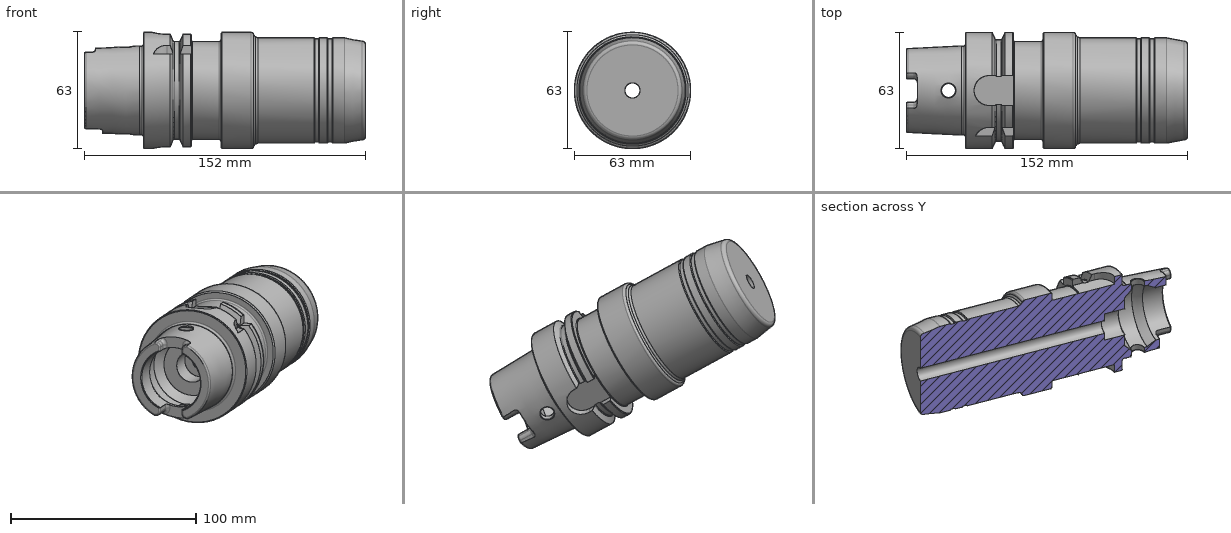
import cadquery as cq
import math

TOTAL_LENGTH = 152.0

SHANK_LENGTH = 31.9
SHANK_FRONT_RADIUS = 22.6
SHANK_TAPER = 1 / 20
SHANK_FRONT_ROUND = 0.9
TAPER_END_X = 29.8
RELIEF_RADIUS = 48.0 / 2
RELIEF_FILLET = 1.0

FLANGE_RADIUS = 63.0 / 2
FLANGE_END_X = 57.9
FLANGE_CHAMFER = 0.5
GROOVE_X = 49.9
GROOVE_RADIUS = 27.5
GROOVE_TOP_HALF_WIDTH = 3.5
GROOVE_FLANK_ANGLE = 65
GROOVE_FILLET = 0.6

NECK_RADIUS = 53.0 / 2
NECK_FRONT_FILLET = 0.5
NECK_REAR_FILLET = 0.9
COLLAR_X = 73.7
COLLAR_FRONT_CHAMFER = 0.8
COLLAR_END_X = 91.5
COLLAR_REAR_ROUND = 1.4
COLLAR_STEP_X = 92.4
COLLAR_STEP_RADIUS = 29.0

SLEEVE_X = 93.8
SLEEVE_RADIUS = 57.0 / 2
RING_GROOVE_RADIUS = 56.0 / 2
RING_GROOVE_STARTS = (124.0, 131.2)
RING_GROOVE_WIDTH = 3.0
NOSE_X = 140.5
NOSE_ROUND = 2.1
NOSE_END_RADIUS = 26.8

MOUTH_RADIUS = 34.0 / 2
MOUTH_CHAMFER = 0.5
MOUTH_DEPTH = 12.2
RECESS_RADIUS = 40.0 / 2
RECESS_SHOULDER_ANGLE = 30
RECESS_DEPTH = 30.4
RECESS_FLOOR_RADIUS = 15.8
COUNTERBORE_RADIUS = 16.9 / 2
COUNTERBORE_DEPTH = 12.2
COOLANT_RADIUS = 8.0 / 2

CROSS_HOLE_X = 22.8
CROSS_HOLE_RADIUS = 7.5 / 2
CROSS_HOLE_RIM_STEP = 0.3

DRIVE_SLOT_HALF_WIDTH = 6.2
DRIVE_SLOT_FLOOR_ROUND = 1.8
DRIVE_SLOT_EDGE_ROUND = 2.3
DRIVE_SLOT_MOUTH_HALF_WIDTH = 9.3
DRIVE_SLOT_FLARE_ANGLE = 15
DRIVE_SLOT_FLARE_EXCESS = 3.0
TOP_SLOT_DEPTH = 6.0
BOTTOM_SLOT_DEPTH = 9.9

KEYWAY_RADIUS = 8.0
KEYWAY_CENTER_X = 44.7
KEYWAY_FLOOR = 26.5
NOTCH_FLOOR_Z = 19.8
NOTCH_WALL_Y = 19.9


def arc_point(center_x, center_r, radius, angle):
    """Point on a circle in the sketch plane, angle in degrees."""
    a = math.radians(angle)
    return (center_x + radius * math.cos(a), center_r + radius * math.sin(a))


def body():
    """Solid of revolution for the whole outside."""
    taper_end_radius = SHANK_FRONT_RADIUS + SHANK_TAPER * TAPER_END_X
    taper_step = taper_end_radius - RELIEF_RADIUS
    flank_run = (FLANGE_RADIUS - GROOVE_RADIUS) / math.tan(math.radians(GROOVE_FLANK_ANGLE))
    fillet_x = (
        GROOVE_TOP_HALF_WIDTH - flank_run
        - GROOVE_FILLET * math.tan(math.radians(GROOVE_FLANK_ANGLE / 2))
    )
    fillet_center = (fillet_x, GROOVE_RADIUS + GROOVE_FILLET)
    fillet_middle = arc_point(*fillet_center, GROOVE_FILLET, GROOVE_FLANK_ANGLE / 2 - 90)
    flank_end = arc_point(*fillet_center, GROOVE_FILLET, GROOVE_FLANK_ANGLE - 90)
    profile = (
        cq.Workplane("XY")
        .moveTo(0, 0)
        .lineTo(0, SHANK_FRONT_RADIUS)
        .lineTo(TAPER_END_X, taper_end_radius)
        .lineTo(TAPER_END_X + taper_step, RELIEF_RADIUS)
        .lineTo(SHANK_LENGTH - RELIEF_FILLET, RELIEF_RADIUS)
        .threePointArc(
            arc_point(SHANK_LENGTH - RELIEF_FILLET, RELIEF_RADIUS + RELIEF_FILLET, RELIEF_FILLET, -45),
            (SHANK_LENGTH, RELIEF_RADIUS + RELIEF_FILLET),
        )
        .lineTo(SHANK_LENGTH, FLANGE_RADIUS - FLANGE_CHAMFER)
        .lineTo(SHANK_LENGTH + FLANGE_CHAMFER, FLANGE_RADIUS)
        .lineTo(GROOVE_X - GROOVE_TOP_HALF_WIDTH, FLANGE_RADIUS)
        .lineTo(GROOVE_X - flank_end[0], flank_end[1])
        .threePointArc((GROOVE_X - fillet_middle[0], fillet_middle[1]), (GROOVE_X - fillet_x, GROOVE_RADIUS))
        .lineTo(GROOVE_X + fillet_x, GROOVE_RADIUS)
        .threePointArc((GROOVE_X + fillet_middle[0], fillet_middle[1]), (GROOVE_X + flank_end[0], flank_end[1]))
        .lineTo(GROOVE_X + GROOVE_TOP_HALF_WIDTH, FLANGE_RADIUS)
        .lineTo(FLANGE_END_X - FLANGE_CHAMFER, FLANGE_RADIUS)
        .lineTo(FLANGE_END_X, FLANGE_RADIUS - FLANGE_CHAMFER)
        .lineTo(FLANGE_END_X, NECK_RADIUS + NECK_FRONT_FILLET)
        .threePointArc(
            arc_point(FLANGE_END_X + NECK_FRONT_FILLET, NECK_RADIUS + NECK_FRONT_FILLET, NECK_FRONT_FILLET, 225),
            (FLANGE_END_X + NECK_FRONT_FILLET, NECK_RADIUS),
        )
        .lineTo(COLLAR_X - NECK_REAR_FILLET, NECK_RADIUS)
        .threePointArc(
            arc_point(COLLAR_X - NECK_REAR_FILLET, NECK_RADIUS + NECK_REAR_FILLET, NECK_REAR_FILLET, -45),
            (COLLAR_X, NECK_RADIUS + NECK_REAR_FILLET),
        )
        .lineTo(COLLAR_X, FLANGE_RADIUS - COLLAR_FRONT_CHAMFER)
        .lineTo(COLLAR_X + COLLAR_FRONT_CHAMFER, FLANGE_RADIUS)
        .lineTo(COLLAR_END_X - COLLAR_REAR_ROUND, FLANGE_RADIUS)
        .threePointArc(
            arc_point(COLLAR_END_X - COLLAR_REAR_ROUND, FLANGE_RADIUS - COLLAR_REAR_ROUND, COLLAR_REAR_ROUND, 45),
            (COLLAR_END_X, FLANGE_RADIUS - COLLAR_REAR_ROUND),
        )
        .lineTo(COLLAR_STEP_X, COLLAR_STEP_RADIUS)
        .lineTo(SLEEVE_X, SLEEVE_RADIUS)
    )
    flank = SLEEVE_RADIUS - RING_GROOVE_RADIUS
    for start in RING_GROOVE_STARTS:
        end = start + RING_GROOVE_WIDTH
        profile = (
            profile.lineTo(start, SLEEVE_RADIUS)
            .lineTo(start + flank, RING_GROOVE_RADIUS)
            .lineTo(end - flank, RING_GROOVE_RADIUS)
            .lineTo(end, SLEEVE_RADIUS)
        )
    profile = (
        profile.lineTo(NOSE_X, SLEEVE_RADIUS)
        .lineTo(TOTAL_LENGTH - NOSE_ROUND, NOSE_END_RADIUS)
        .threePointArc(
            arc_point(TOTAL_LENGTH - NOSE_ROUND, NOSE_END_RADIUS - NOSE_ROUND, NOSE_ROUND, 45),
            (TOTAL_LENGTH, NOSE_END_RADIUS - NOSE_ROUND),
        )
        .lineTo(TOTAL_LENGTH, 0)
        .close()
    )
    return profile.revolve(360, (0, 0, 0), (1, 0, 0))


def bores():
    """Stepped bore from the shank mouth, running on as the coolant hole."""
    shoulder_run = (RECESS_RADIUS - MOUTH_RADIUS) / math.tan(math.radians(RECESS_SHOULDER_ANGLE))
    floor_cone = RECESS_RADIUS - RECESS_FLOOR_RADIUS
    counterbore_end = RECESS_DEPTH + COUNTERBORE_DEPTH
    return (
        cq.Workplane("XY")
        .polyline([
            (0, 0),
            (0, MOUTH_RADIUS + MOUTH_CHAMFER),
            (MOUTH_CHAMFER, MOUTH_RADIUS),
            (MOUTH_DEPTH, MOUTH_RADIUS),
            (MOUTH_DEPTH + shoulder_run, RECESS_RADIUS),
            (RECESS_DEPTH - floor_cone, RECESS_RADIUS),
            (RECESS_DEPTH, RECESS_FLOOR_RADIUS),
            (RECESS_DEPTH, COUNTERBORE_RADIUS),
            (counterbore_end, COUNTERBORE_RADIUS),
            (counterbore_end, COOLANT_RADIUS),
            (TOTAL_LENGTH, COOLANT_RADIUS),
            (TOTAL_LENGTH, 0),
        ])
        .close()
        .revolve(360, (0, 0, 0), (1, 0, 0))
    )


def drive_slot(depth):
    """Cutter for a slot in the upper mouth wall, with rounded floor corners and outer edges."""
    half = DRIVE_SLOT_HALF_WIDTH
    edge = DRIVE_SLOT_EDGE_ROUND
    slope = math.tan(math.radians(DRIVE_SLOT_FLARE_ANGLE))
    mouth_z = math.sqrt(SHANK_FRONT_RADIUS ** 2 - DRIVE_SLOT_MOUTH_HALF_WIDTH ** 2)
    bend_end_angle = 90 + DRIVE_SLOT_FLARE_ANGLE
    bend_end_y = arc_point(half + edge, 0, edge, bend_end_angle)[0]
    bend_end_z = mouth_z - slope * (DRIVE_SLOT_MOUTH_HALF_WIDTH - bend_end_y)
    bend_z = bend_end_z - edge * math.sin(math.radians(bend_end_angle))
    middle = arc_point(half + edge, bend_z, edge, (180 + bend_end_angle) / 2)
    flare_end_y = DRIVE_SLOT_MOUTH_HALF_WIDTH + DRIVE_SLOT_FLARE_EXCESS
    flare_end_z = mouth_z + slope * DRIVE_SLOT_FLARE_EXCESS
    bottom = MOUTH_RADIUS / 2
    top = FLANGE_RADIUS
    return (
        cq.Workplane("YZ")
        .moveTo(-half, bottom)
        .lineTo(half, bottom)
        .lineTo(half, bend_z)
        .threePointArc(middle, (bend_end_y, bend_end_z))
        .lineTo(flare_end_y, flare_end_z)
        .lineTo(flare_end_y, top)
        .lineTo(-flare_end_y, top)
        .lineTo(-flare_end_y, flare_end_z)
        .lineTo(-bend_end_y, bend_end_z)
        .threePointArc((-middle[0], middle[1]), (-half, bend_z))
        .close()
        .extrude(depth)
        .faces(">X").edges("not |Y")
        .fillet(DRIVE_SLOT_FLOOR_ROUND)
    )


def cross_hole():
    """Upper radial hole in the shank with a slightly wider rim."""
    rim_z = SHANK_FRONT_RADIUS + SHANK_TAPER * CROSS_HOLE_X
    rim_radius = CROSS_HOLE_RADIUS + CROSS_HOLE_RIM_STEP
    hole = cq.Workplane("XY").center(CROSS_HOLE_X, 0).circle(CROSS_HOLE_RADIUS).extrude(rim_z)
    rim = (
        cq.Workplane("XY", origin=(CROSS_HOLE_X, 0, rim_z - 2 * CROSS_HOLE_RIM_STEP))
        .circle(rim_radius)
        .extrude(FLANGE_RADIUS - rim_z)
    )
    return hole.union(rim)


def round_ended_pocket(center_y, floor_z):
    """Pocket open towards +X and +Z with a full-radius end inside the flange."""
    straight = FLANGE_END_X - KEYWAY_CENTER_X
    height = FLANGE_RADIUS
    end = cq.Workplane("XY", origin=(KEYWAY_CENTER_X, center_y, floor_z)).circle(KEYWAY_RADIUS).extrude(height)
    run = (
        cq.Workplane("XY", origin=(KEYWAY_CENTER_X, center_y, floor_z))
        .box(straight, 2 * KEYWAY_RADIUS, height, centered=(False, True, False))
    )
    return end.union(run)


def half_turn(shape):
    """Same shape on the opposite side of the X axis."""
    return shape.rotate((0, 0, 0), (1, 0, 0), 180)


keyway = round_ended_pocket(0, KEYWAY_FLOOR)
notch = round_ended_pocket(-NOTCH_WALL_Y - KEYWAY_RADIUS, NOTCH_FLOOR_Z)

result = body()
result = result.cut(drive_slot(TOP_SLOT_DEPTH)).cut(half_turn(drive_slot(BOTTOM_SLOT_DEPTH)))
result = result.faces("<X").edges().fillet(SHANK_FRONT_ROUND)
result = result.cut(bores())
result = result.cut(cross_hole()).cut(half_turn(cross_hole()))
result = result.cut(keyway).cut(half_turn(keyway)).cut(notch)